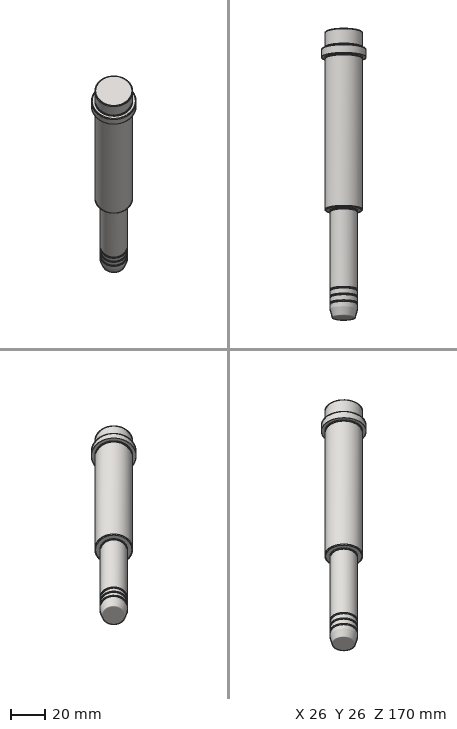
import cadquery as cq
import math

total_length = 170.0
head_length = 10.0
collar_thickness = 5.0
body_length = 91.0

body_diameter = 22.0
collar_diameter = 26.0
rod_diameter = 16.0

relief_width = 1.0
relief_depth = 0.5

head_chamfer = 0.5
body_end_chamfer = 0.5
collar_top_chamfer = 0.5
tip_fillet = 0.5

taper_length = 5.0
taper_angle = 15.0

groove_count = 3
groove_width = 1.0
groove_depth = 0.5
groove_pitch = 4.0
first_groove_height = 8.0

collar_top = total_length - head_length
collar_bottom = collar_top - collar_thickness
body_bottom = collar_bottom - body_length
tip_diameter = rod_diameter - 2 * taper_length * math.tan(math.radians(taper_angle))


def cylinder(diameter, bottom, top):
    """Solid cylinder about the Z axis between two heights."""
    return cq.Workplane("XY").workplane(offset=bottom).circle(diameter / 2).extrude(top - bottom)


def revolve_profile(points):
    """Revolve a closed outline of (radius, height) points about the Z axis."""
    return cq.Workplane("XZ").polyline(points).close().revolve(360, (0, 0, 0), (0, 1, 0))


def v_groove(surface_diameter, bottom, width, depth):
    """Cutter for a V-shaped groove around a cylinder, starting at the given height."""
    radius = surface_diameter / 2
    return revolve_profile([
        (radius, bottom),
        (radius, bottom + width),
        (radius - depth, bottom + width / 2),
    ])


def make_rod():
    """Slim rod with a tapered, rounded tip, a row of grooves above it and a relief at its root."""
    rod = revolve_profile([
        (0, 0),
        (tip_diameter / 2, 0),
        (rod_diameter / 2, taper_length),
        (rod_diameter / 2, body_bottom),
        (0, body_bottom),
    ])
    rod = rod.faces("<Z").edges().fillet(tip_fillet)
    for index in range(groove_count):
        height = first_groove_height + index * groove_pitch
        rod = rod.cut(v_groove(rod_diameter, height, groove_width, groove_depth))
    return rod.cut(v_groove(rod_diameter, body_bottom - relief_width, relief_width, relief_depth))


def make_body():
    """Thick body and head, chamfered at both ends, with a relief on each side of the collar."""
    body = cylinder(body_diameter, body_bottom, total_length)
    body = body.faces("<Z").edges().chamfer(body_end_chamfer)
    body = body.faces(">Z").edges().chamfer(head_chamfer)
    for relief_bottom in (collar_top, collar_bottom - relief_width):
        body = body.cut(v_groove(body_diameter, relief_bottom, relief_width, relief_depth))
    return body


def make_collar():
    """Locating collar with a chamfered upper rim."""
    collar = cylinder(collar_diameter, collar_bottom, collar_top)
    return collar.faces(">Z").edges().chamfer(collar_top_chamfer)


result = make_rod().union(make_body()).union(make_collar())